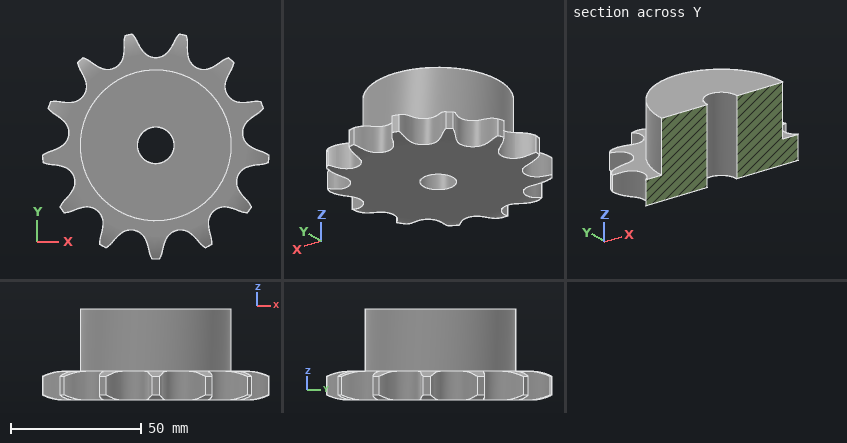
import cadquery as cq
import math

TOOTH_COUNT = 13
CHAIN_PITCH = 19.05
ROLLER_DIAMETER = 12.07
OUTER_DIAMETER = 87.5
TOOTH_WIDTH = 11.1
OVERALL_HEIGHT = 35.0
HUB_DIAMETER = 58.0
BORE_DIAMETER = 14.0
SIDE_ROUNDING_RADIUS = 19.0
SIDE_ROUNDING_DEPTH = 2.0

SEAT_CLEARANCE_FACTOR = 1.005
SEAT_CLEARANCE = 0.0762
WORKING_RADIUS_FACTOR = 1.3025
WORKING_CLEARANCE = 0.0381
WORKING_CENTER_FACTOR = 0.8
TOPPING_CENTER_FACTOR = 1.4
SEAT_ANGLE = math.radians(35 + 60 / TOOTH_COUNT)
WORKING_ANGLE = math.radians(18 - 56 / TOOTH_COUNT)
PRESSURE_ANGLE = math.radians(17 - 64 / TOOTH_COUNT)

OUTER_RADIUS = OUTER_DIAMETER / 2
TOOTH_STEP = 360.0 / TOOTH_COUNT
HALF_STEP = math.radians(TOOTH_STEP / 2)
PITCH_RADIUS = CHAIN_PITCH / (2 * math.sin(HALF_STEP))
CUTTER_OVERRUN = 0.5


def polar(center, radius, angle):
    """Point at a distance and direction (radians) from a center."""
    return (center[0] + radius * math.cos(angle), center[1] + radius * math.sin(angle))


def mirrored(point):
    """Reflection of a point across the center line of the gap."""
    return (-point[0], point[1])


def make_blank():
    """Toothless disc with its rim rounded toward the tip on both sides."""
    radial_run = math.sqrt(SIDE_ROUNDING_RADIUS**2 - (SIDE_ROUNDING_RADIUS - SIDE_ROUNDING_DEPTH) ** 2)
    flat_radius = OUTER_RADIUS - radial_run
    half_sweep = math.asin(radial_run / SIDE_ROUNDING_RADIUS) / 2
    mid_radius = flat_radius + SIDE_ROUNDING_RADIUS * math.sin(half_sweep)
    mid_drop = SIDE_ROUNDING_RADIUS * (1 - math.cos(half_sweep))
    return (
        cq.Workplane("XZ")
        .moveTo(0, 0)
        .lineTo(flat_radius, 0)
        .threePointArc((mid_radius, mid_drop), (OUTER_RADIUS, SIDE_ROUNDING_DEPTH))
        .lineTo(OUTER_RADIUS, TOOTH_WIDTH - SIDE_ROUNDING_DEPTH)
        .threePointArc((mid_radius, TOOTH_WIDTH - mid_drop), (flat_radius, TOOTH_WIDTH))
        .lineTo(0, TOOTH_WIDTH)
        .close()
        .revolve(360, (0, 0, 0), (0, 1, 0))
    )


def make_gap_cutter():
    """Tooth gap centered on +Y.

    Each side is a roller seat arc, a concave working arc, a short straight and a convex topping arc.
    """
    seat_radius = (SEAT_CLEARANCE_FACTOR * ROLLER_DIAMETER + SEAT_CLEARANCE) / 2
    working_radius = WORKING_RADIUS_FACTOR * ROLLER_DIAMETER + WORKING_CLEARANCE
    topping_radius = (
        ROLLER_DIAMETER * WORKING_CENTER_FACTOR * math.cos(WORKING_ANGLE)
        + ROLLER_DIAMETER * TOPPING_CENTER_FACTOR * math.cos(PRESSURE_ANGLE)
        - working_radius
    )

    roller_center = (0.0, PITCH_RADIUS)
    working_center = polar(roller_center, WORKING_CENTER_FACTOR * ROLLER_DIAMETER, math.pi - SEAT_ANGLE)
    topping_center = polar(roller_center, TOPPING_CENTER_FACTOR * ROLLER_DIAMETER, -HALF_STEP)

    working_end_angle = WORKING_ANGLE - SEAT_ANGLE
    topping_start_angle = working_end_angle + math.pi

    cutter_radius = OUTER_RADIUS + CUTTER_OVERRUN
    center_distance = math.hypot(*topping_center)
    center_direction = math.atan2(topping_center[1], topping_center[0])
    cos_at_center = (center_distance**2 + topping_radius**2 - cutter_radius**2) / (
        2 * center_distance * topping_radius
    )
    topping_end_angle = center_direction + math.pi - math.acos(cos_at_center)

    root = polar(roller_center, seat_radius, -math.pi / 2)
    seat_mid = polar(roller_center, seat_radius, -(math.pi / 2 + SEAT_ANGLE) / 2)
    seat_end = polar(roller_center, seat_radius, -SEAT_ANGLE)
    working_mid = polar(working_center, working_radius, (working_end_angle - SEAT_ANGLE) / 2)
    working_end = polar(working_center, working_radius, working_end_angle)
    topping_start = polar(topping_center, topping_radius, topping_start_angle)
    topping_mid = polar(topping_center, topping_radius, (topping_start_angle + topping_end_angle) / 2)
    topping_end = polar(topping_center, topping_radius, topping_end_angle)

    return (
        cq.Workplane("XY")
        .moveTo(*root)
        .threePointArc(seat_mid, seat_end)
        .threePointArc(working_mid, working_end)
        .lineTo(*topping_start)
        .threePointArc(topping_mid, topping_end)
        .threePointArc((0, cutter_radius), mirrored(topping_end))
        .threePointArc(mirrored(topping_mid), mirrored(topping_start))
        .lineTo(*mirrored(working_end))
        .threePointArc(mirrored(working_mid), mirrored(seat_end))
        .threePointArc(mirrored(seat_mid), root)
        .close()
        .extrude(TOOTH_WIDTH)
    )


def cut_teeth(blank):
    """Cut the evenly spaced tooth gaps into the blank, the first one on +Y."""
    cutter = make_gap_cutter()
    for index in range(TOOTH_COUNT):
        blank = blank.cut(cutter.rotate((0, 0, 0), (0, 0, 1), index * TOOTH_STEP))
    return blank


def make_hub():
    """Plain cylindrical hub through the full height."""
    return cq.Workplane("XY").circle(HUB_DIAMETER / 2).extrude(OVERALL_HEIGHT)


def make_bore():
    """Through bore on the sprocket axis."""
    return cq.Workplane("XY").circle(BORE_DIAMETER / 2).extrude(OVERALL_HEIGHT)


result = cut_teeth(make_blank()).union(make_hub()).cut(make_bore())